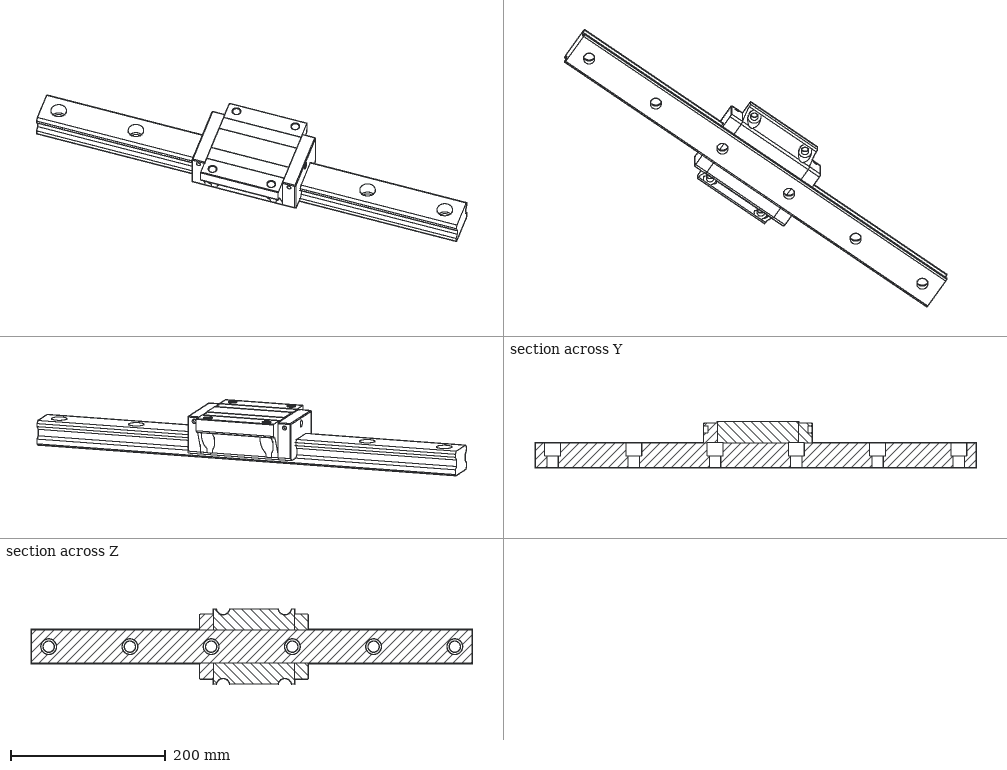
import cadquery as cq

RAIL_LENGTH = 570.0
RAIL_HEIGHT = 32.5
RAIL_HALF_WIDTH = 45.0 / 2
RAIL_TOP_CHAMFER = 3.5
RAIL_BASE_CHAMFER = 2.0
NECK_HALF_WIDTH = 36.0 / 2
HEAD_BOTTOM_Z = 25.0
NECK_TOP_Z = 20.5
NECK_BOTTOM_Z = 12.0
FOOT_TOP_Z = 8.5

RAIL_HOLE_COUNT = 6
RAIL_HOLE_PITCH = 105.0
RAIL_HOLE_DIAMETER = 14.0
RAIL_COUNTERBORE_DIAMETER = 20.0
RAIL_COUNTERBORE_DEPTH = 17.0

CARRIAGE_CENTER_X = 3.0
TOP_Z = 60.0
BLOCK_LENGTH = 105.5
BLOCK_BOTTOM_Z = 8.5
BLOCK_HALF_WIDTH = 84.5 / 2
BLOCK_BASE_CHAMFER = 3.5
FLANGE_HALF_WIDTH = 120.0 / 2
FLANGE_BOTTOM_Z = 41.0
FLANGE_CHAMFER = 3.0
FLANGE_LEDGE = 3.0
TAPER_END_Z = 17.0
TAPER_TOP_FILLET = 2.0
TAPER_END_FILLET = 7.0
FLANGE_TOP_CHAMFER = 0.85

STRIP_INNER_Y = 16.5
STRIP_OUTER_Y = 35.5
STRIP_DEPTH = 0.5

MOUNT_SPACING_X = 80.0
MOUNT_SPACING_Y = 100.0
MOUNT_HOLE_DIAMETER = 9.5
MOUNT_HOLE_CHAMFER = 0.85
COUNTERSINK_ANGLE = 90
MOUNT_RELIEF_DIAMETER = 17.0

CAP_LENGTH = 17.5
CAP_TOP_Z = 58.0
CAP_CHAMFER = 1.0
GREASE_HOLE_DIAMETER = 8.5
GREASE_HOLE_Z = 49.5
GREASE_HOLE_DEPTH = 5.5
SIDE_HOLE_DIAMETER = 5.2
SIDE_HOLE_Z = 52.0
SIDE_HOLE_DEPTH = 5.5


def prism_along_x(right_half, length):
    """Mirror a (y, z) half outline about the XZ plane and extrude it, centred on x = 0."""
    left_half = [(-y, z) for y, z in reversed(right_half)]
    outline = right_half + left_half
    return cq.Workplane("YZ").polyline(outline).close().extrude(length / 2, both=True)


def rail_profile_prism(length):
    """Rail section without its holes; it also serves as the passage through the carriage."""
    half = [
        (RAIL_HALF_WIDTH - RAIL_BASE_CHAMFER, 0),
        (RAIL_HALF_WIDTH, RAIL_BASE_CHAMFER),
        (RAIL_HALF_WIDTH, FOOT_TOP_Z),
        (NECK_HALF_WIDTH, NECK_BOTTOM_Z),
        (NECK_HALF_WIDTH, NECK_TOP_Z),
        (RAIL_HALF_WIDTH, HEAD_BOTTOM_Z),
        (RAIL_HALF_WIDTH, RAIL_HEIGHT - RAIL_TOP_CHAMFER),
        (RAIL_HALF_WIDTH - RAIL_TOP_CHAMFER, RAIL_HEIGHT),
    ]
    return prism_along_x(half, length)


def build_rail():
    """Rail with counterbored fixing holes, some of them under the carriage."""
    return (
        rail_profile_prism(RAIL_LENGTH)
        .copyWorkplane(cq.Workplane("XY", origin=(0, 0, RAIL_HEIGHT)))
        .rarray(RAIL_HOLE_PITCH, 5.5, RAIL_HOLE_COUNT, 1)
        .cboreHole(RAIL_HOLE_DIAMETER, RAIL_COUNTERBORE_DIAMETER, RAIL_COUNTERBORE_DEPTH)
    )


def block_body():
    """Flanged section with tapered sides, blended at both ends of each taper."""
    ledge_outer_y = FLANGE_HALF_WIDTH - FLANGE_CHAMFER
    ledge_inner_y = ledge_outer_y - FLANGE_LEDGE
    half = [
        (BLOCK_HALF_WIDTH - BLOCK_BASE_CHAMFER, BLOCK_BOTTOM_Z),
        (BLOCK_HALF_WIDTH, BLOCK_BOTTOM_Z + BLOCK_BASE_CHAMFER),
        (BLOCK_HALF_WIDTH, TAPER_END_Z),
        (ledge_inner_y, FLANGE_BOTTOM_Z),
        (ledge_outer_y, FLANGE_BOTTOM_Z),
        (FLANGE_HALF_WIDTH, FLANGE_BOTTOM_Z + FLANGE_CHAMFER),
        (FLANGE_HALF_WIDTH, TOP_Z - FLANGE_TOP_CHAMFER),
        (FLANGE_HALF_WIDTH - FLANGE_TOP_CHAMFER, TOP_Z),
        (STRIP_OUTER_Y, TOP_Z),
        (STRIP_OUTER_Y, TOP_Z - STRIP_DEPTH),
        (STRIP_INNER_Y, TOP_Z - STRIP_DEPTH),
        (STRIP_INNER_Y, TOP_Z),
    ]
    body = prism_along_x(half, BLOCK_LENGTH)
    for edge_y, edge_z, radius in (
        (ledge_inner_y, FLANGE_BOTTOM_Z, TAPER_TOP_FILLET),
        (BLOCK_HALF_WIDTH, TAPER_END_Z, TAPER_END_FILLET),
    ):
        for y in (-edge_y, edge_y):
            taper_edge = cq.selectors.NearestToPointSelector((0, y, edge_z))
            body = body.edges(taper_edge).fillet(radius)
    return body


def cut_mounting_holes(body):
    """Countersunk holes through the flanges, with round clearance below for the screws."""
    drilled = (
        body.copyWorkplane(cq.Workplane("XY", origin=(0, 0, TOP_Z)))
        .rarray(MOUNT_SPACING_X, MOUNT_SPACING_Y, 2, 2)
        .cskHole(MOUNT_HOLE_DIAMETER, MOUNT_HOLE_DIAMETER + 2 * MOUNT_HOLE_CHAMFER, COUNTERSINK_ANGLE)
    )
    reliefs = (
        cq.Workplane("XY")
        .rarray(MOUNT_SPACING_X, MOUNT_SPACING_Y, 2, 2)
        .circle(MOUNT_RELIEF_DIAMETER / 2)
        .extrude(FLANGE_BOTTOM_Z)
    )
    return drilled.cut(reliefs)


def build_block(rail_passage):
    block = cut_mounting_holes(block_body())
    return block.translate((CARRIAGE_CENTER_X, 0, 0)).cut(rail_passage)


def build_end_cap(side, rail_passage):
    """End cap at the -X (side = -1) or +X (side = 1) end of the block."""
    inner_x = CARRIAGE_CENTER_X + side * BLOCK_LENGTH / 2
    center_x = inner_x + side * CAP_LENGTH / 2
    outer_x = inner_x + side * CAP_LENGTH
    height = CAP_TOP_Z - BLOCK_BOTTOM_Z
    outer_face = ">X" if side > 0 else "<X"
    cap = (
        cq.Workplane("XY")
        .box(CAP_LENGTH, 2 * BLOCK_HALF_WIDTH, height)
        .edges("|X and <Z")
        .chamfer(BLOCK_BASE_CHAMFER)
        .edges(f"(|X and >Z) or (({outer_face}) and (|Z or >Z))")
        .chamfer(CAP_CHAMFER)
        .translate((center_x, 0, BLOCK_BOTTOM_Z + height / 2))
    )
    grease_hole = (
        cq.Workplane("YZ", origin=(outer_x, 0, GREASE_HOLE_Z))
        .circle(GREASE_HOLE_DIAMETER / 2)
        .extrude(-side * GREASE_HOLE_DEPTH)
    )
    cap = cap.cut(grease_hole).cut(rail_passage)
    for y_side in (-1, 1):
        side_hole = (
            cq.Workplane("XZ", origin=(center_x, y_side * BLOCK_HALF_WIDTH, SIDE_HOLE_Z))
            .circle(SIDE_HOLE_DIAMETER / 2)
            .extrude(y_side * SIDE_HOLE_DEPTH)
        )
        cap = cap.cut(side_hole)
    return cap


rail = build_rail()
rail_passage = rail_profile_prism(RAIL_LENGTH)
block = build_block(rail_passage)
end_caps = [build_end_cap(side, rail_passage) for side in (-1, 1)]

result = cq.Compound.makeCompound([rail.val(), block.val(), *[cap.val() for cap in end_caps]])